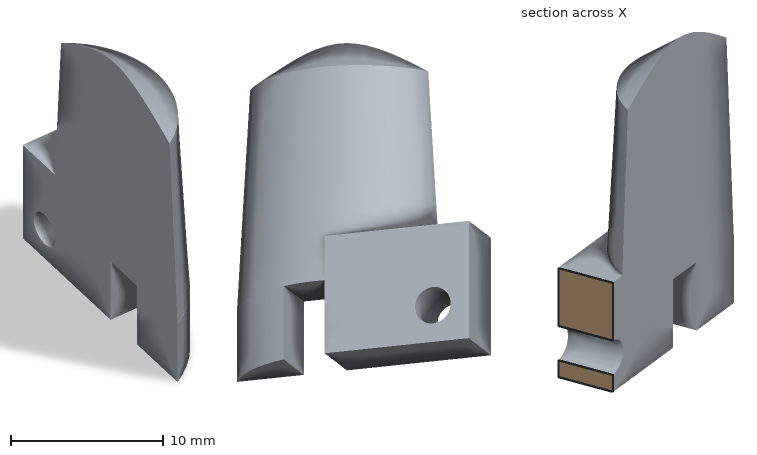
import cadquery as cq
import math

height = 22.45
axis_x = 10.64
axis_y = -4.0
foot_half_width = 7.15
foot_radius = math.hypot(foot_half_width, axis_y)
foot_height = 5.03
shoulder_height = 19.88
shoulder_radius = 7.4
taper_angle = 3.0
taper_foot_radius = shoulder_radius + (shoulder_height - foot_height) * math.tan(math.radians(taper_angle))

block_length = 10.1
block_depth = 4.22
block_height = 8.03
hole_diameter = 2.5
hole_x = 2.51
hole_z = 2.51

notch_width = 3.0


def make_blade():
    """Revolve the foot, taper and conical tip, then keep the part behind Y = 0."""
    tip_slope = (height - shoulder_height) / (shoulder_radius + axis_y)
    apex_height = shoulder_height + shoulder_radius * tip_slope
    profile = [
        (0, 0),
        (foot_radius, 0),
        (foot_radius, foot_height),
        (taper_foot_radius, foot_height),
        (shoulder_radius, shoulder_height),
        (0, apex_height),
    ]
    solid = (
        cq.Workplane("XZ")
        .polyline(profile)
        .close()
        .revolve(360, (0, 0), (0, 1))
        .translate((axis_x, axis_y, 0))
    )
    span = 2 * foot_radius
    keep = cq.Workplane("XY").box(span, span, apex_height, centered=(True, False, False))
    return solid.intersect(keep.translate((axis_x, 0, 0)))


def make_block():
    return cq.Workplane("XY").box(block_length, block_depth, block_height, centered=False)


def make_notch():
    notch = cq.Workplane("XY").box(notch_width, block_depth, foot_height, centered=False)
    return notch.translate((block_length, 0, 0))


def make_hole():
    return (
        cq.Workplane("XZ")
        .center(hole_x, hole_z)
        .circle(hole_diameter / 2)
        .extrude(-block_depth)
    )


result = make_blade().union(make_block()).cut(make_notch()).cut(make_hole())